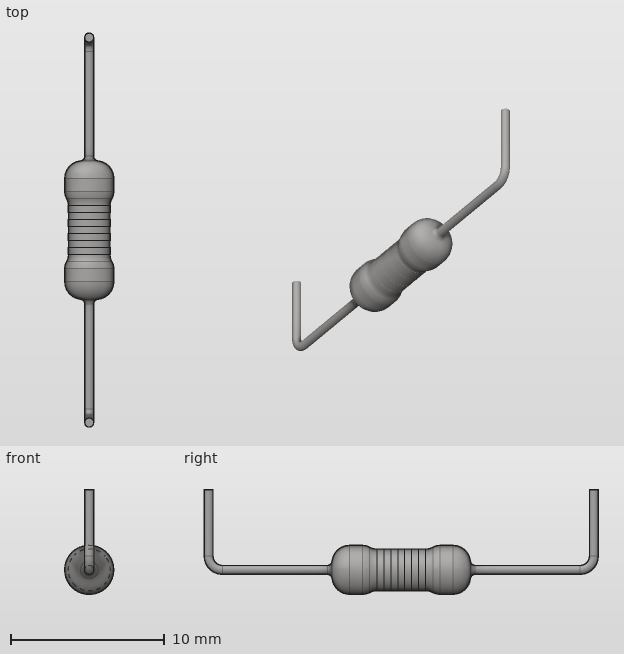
import cadquery as cq
import math


overall_length = 25.6
wire_radius = 0.6 / 2
bend_radius = 0.9
lead_top = 5.21
lead_y = overall_length / 2 - wire_radius

cap_radius = 3.2 / 2
barrel_radius = 2.71 / 2
band_radius = 2.75 / 2
dome_radius = 1.15
flare_radius = 0.3
dome_start = 3.35
shoulder_outer = 2.5
shoulder_inner = 1.6

band_count = 4
band_width = 2 * shoulder_inner / (2 * band_count - 1)


def build_wire():
    turn = bend_radius * math.sin(math.radians(45))
    bend_y = lead_y - bend_radius
    path = (
        cq.Workplane("YZ")
        .moveTo(-lead_y, lead_top)
        .lineTo(-lead_y, bend_radius)
        .threePointArc((-bend_y - turn, bend_radius - turn), (-bend_y, 0))
        .lineTo(bend_y, 0)
        .threePointArc((bend_y + turn, bend_radius - turn), (lead_y, bend_radius))
        .lineTo(lead_y, lead_top)
    )
    section = cq.Workplane("XY", origin=(0, -lead_y, lead_top)).circle(wire_radius)
    return section.sweep(path)


def revolve_about_y(profile):
    return profile.revolve(360, (0, 0, 0), (0, 1, 0))


def build_end_cap():
    """Revolve the +Y cap with its shoulder; profile points are (radius, distance along Y)."""
    shoulder_mid = (
        (barrel_radius + cap_radius) / 2,
        (shoulder_inner + shoulder_outer) / 2,
    )

    dome_centre_radius = cap_radius - dome_radius
    flare_centre_radius = wire_radius + flare_radius
    centre_distance = dome_radius + flare_radius
    tilt = math.asin((flare_centre_radius - dome_centre_radius) / centre_distance)
    flare_end = dome_start + centre_distance * math.cos(tilt)

    def dome_point(angle):
        return (
            dome_centre_radius + dome_radius * math.sin(angle),
            dome_start + dome_radius * math.cos(angle),
        )

    overlap_start = shoulder_inner - band_width / 2

    profile = (
        cq.Workplane("XY")
        .moveTo(0, overlap_start)
        .lineTo(barrel_radius, overlap_start)
        .lineTo(barrel_radius, shoulder_inner)
        .tangentArcPoint(shoulder_mid, relative=False)
        .tangentArcPoint((cap_radius, shoulder_outer), relative=False)
        .lineTo(cap_radius, dome_start)
        .threePointArc(dome_point((tilt + math.pi / 2) / 2), dome_point(tilt))
        .tangentArcPoint((wire_radius, flare_end), relative=False)
        .lineTo(0, flare_end)
        .close()
    )
    return revolve_about_y(profile)


def build_disc(radius, start, length):
    """Solid cylinder along +Y from the given start."""
    plane = cq.Plane(origin=(0, start, 0), xDir=(1, 0, 0), normal=(0, 1, 0))
    return cq.Workplane(plane).circle(radius).extrude(length)


end_cap = build_end_cap()
barrel = build_disc(barrel_radius, -shoulder_inner, 2 * shoulder_inner)
result = barrel.union(end_cap).union(end_cap.mirror("XZ"))
for index in range(band_count):
    band_start = -shoulder_inner + 2 * index * band_width
    result = result.union(build_disc(band_radius, band_start, band_width))
result = result.union(build_wire())